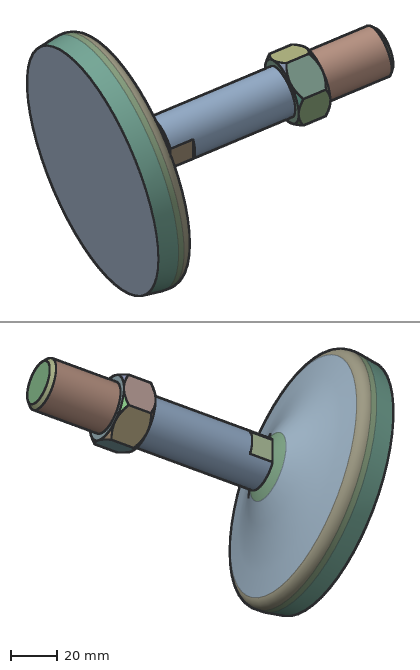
import cadquery as cq
import math

total_length = 144.0

foot_radius = 120.0 / 2
underside_radius = 58.5
pad_height = 9.2
rim_height = 12.0
shoulder_radius = 55.7
shoulder_height = 16.8
crown_radius = 15.8
crown_height = 29.5
foot_height = 32.1

neck_radius = 10.0 / 2
stud_radius = 24.0 / 2
stud_start = 33.0
stud_chamfer = 2.0
flats_width = 20.5
flats_length = 11.2

nut_start = 94.0
nut_length = 15.8
nut_across_flats = 30.1
nut_across_corners = nut_across_flats / math.cos(math.pi / 6)
nut_chamfer = (nut_across_corners - nut_across_flats) / 2


def along_axis(start):
    """Workplane across the axis at the given height, extruding toward +Y."""
    plane = cq.Plane(origin=(0, start, 0), xDir=(1, 0, 0), normal=(0, 1, 0))
    return cq.Workplane(plane)


def make_foot():
    """Tapered pad, short straight rim, rounded shoulder, flared body and domed crown."""
    return (
        cq.Workplane("XY")
        .lineTo(underside_radius, 0)
        .lineTo(foot_radius, pad_height)
        .lineTo(foot_radius, rim_height)
        .tangentArcPoint((shoulder_radius, shoulder_height), relative=False)
        .tangentArcPoint((crown_radius, crown_height), relative=False)
        .tangentArcPoint((neck_radius, foot_height), relative=False)
        .lineTo(0, foot_height)
        .close()
        .revolve(360, (0, 0, 0), (0, 1, 0))
    )


def make_stud():
    """Chamfered stud with two wrench flats facing -X and +X at its lower end."""
    stud = along_axis(stud_start).circle(stud_radius).extrude(total_length - stud_start)
    stud = stud.faces(">Y").chamfer(stud_chamfer)
    for side in (-1, 1):
        cutter = (
            along_axis(stud_start)
            .center(side * (flats_width / 2 + stud_radius), 0)
            .rect(2 * stud_radius, 2 * stud_radius)
            .extrude(flats_length)
        )
        stud = stud.cut(cutter)
    return stud


def make_nut():
    """Hexagon nut with corners on the Z axis and both ends chamfered."""
    hexagon = (
        along_axis(nut_start)
        .transformed(rotate=(0, 0, 90))
        .polygon(6, nut_across_corners)
        .extrude(nut_length)
    )
    envelope = (
        along_axis(nut_start)
        .circle(nut_across_corners / 2)
        .extrude(nut_length)
        .faces("<Y or >Y")
        .chamfer(nut_chamfer)
    )
    return hexagon.intersect(envelope)


neck = along_axis(crown_height).circle(neck_radius).extrude(stud_start - crown_height)
result = make_foot().union(neck).union(make_stud()).union(make_nut())